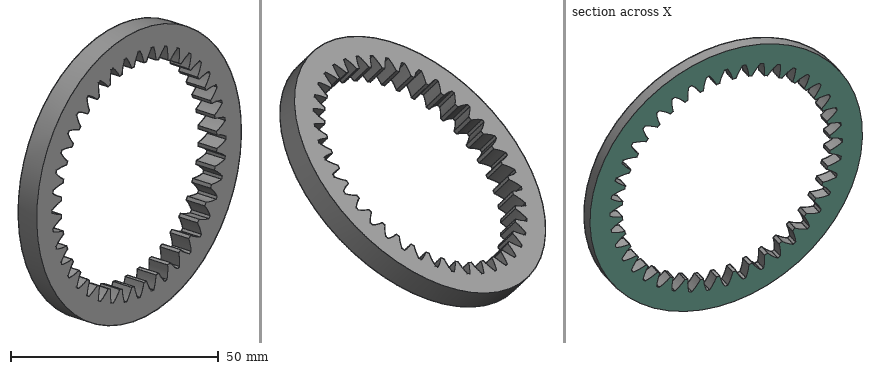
import cadquery as cq
import math

thickness = 6.0
outer_diameter = 75.0
module = 1.5
tooth_count = 40
pressure_angle = math.radians(23.5)
addendum = module
dedendum = 1.25 * module
flank_clearance = 0.12

pitch_radius = module * tooth_count / 2
base_radius = pitch_radius * math.cos(pressure_angle)
tip_radius = pitch_radius - addendum
root_radius = pitch_radius + dedendum
tooth_pitch_degrees = 360 / tooth_count

gear_plane = cq.Plane(origin=(0, 0, 0), xDir=(0, 0, 1), normal=(1, 0, 0))


def involute(angle):
    return math.tan(angle) - angle


def half_space_angle(radius):
    """Half of the angle spanned by a tooth space at the given radius."""
    half_angle_at_pitch = math.pi / (2 * tooth_count) + flank_clearance / pitch_radius
    local_pressure_angle = math.acos(base_radius / radius)
    return half_angle_at_pitch + involute(pressure_angle) - involute(local_pressure_angle)


def flank_point(radius, side):
    """Point on the involute flank; side is +1 or -1."""
    angle = side * half_space_angle(radius)
    return (radius * math.cos(angle), radius * math.sin(angle))


def make_tooth_space():
    """Wedge from the gear axis out to the root circle.

    Each flank is an arc through the involute's tip, pitch and root points.
    """
    return (
        cq.Workplane(gear_plane)
        .lineTo(*flank_point(tip_radius, -1))
        .threePointArc(flank_point(pitch_radius, -1), flank_point(root_radius, -1))
        .threePointArc((root_radius, 0), flank_point(root_radius, 1))
        .threePointArc(flank_point(pitch_radius, 1), flank_point(tip_radius, 1))
        .close()
        .extrude(thickness)
    )


def make_blank():
    """Plain ring bored to the tip circle of the teeth."""
    return (
        cq.Workplane(gear_plane)
        .circle(outer_diameter / 2)
        .circle(tip_radius)
        .extrude(thickness)
    )


ring = make_blank()
tooth_space = make_tooth_space()
for index in range(tooth_count):
    ring = ring.cut(tooth_space.rotate((0, 0, 0), (1, 0, 0), index * tooth_pitch_degrees))

result = ring.solids()